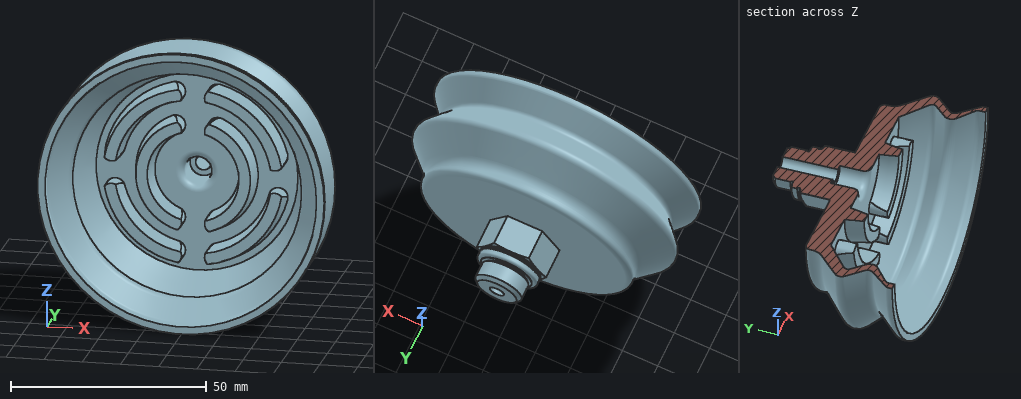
import cadquery as cq
import math


mouth_radius = 37.5
mouth_land = 1.5
mouth_round = 1.3
valley_radius = 32.1
valley_y = 7.9
valley_round = 1.6
bulge_y = 14.45
bulge_round = 1.9
shoulder_radius = 30.0
shoulder_y = 22.57
shoulder_round = 4.0
back_y = 26.5
back_round = 1.5
bulge_radius = shoulder_radius + shoulder_y - bulge_y

mouth_inner_radius = 35.5
mouth_inner_land = 2.3
mouth_inner_round = 1.4
throat_radius = 29.0
throat_y = 7.75
throat_round = 2.2
bulge_inner_radius = 34.4
bulge_inner_y = 13.7
bulge_inner_round = 1.2
floor_radius = 26.4
floor_y = 20.4

rib_base_width = 5.0
rib_draft_inset = 1.0
rib_height = 5.0
rib_gap_half = 3.0
inner_rib_radius = 13.5
outer_rib_radius = 22.0

bore_radius = 2.0
recess_radius = 3.5
recess_depth = 8.0
recess_round = 2.0

hex_across_flats = 17.0
hex_top_y = 35.0
hex_chamfer_radius = 8.5
hex_chamfer_angle = 15.0

collar_radius = 8.5
collar_groove_radius = 8.1
collar_foot_y = 35.2
collar_bottom_y = 35.8
collar_top_y = 37.65
collar_step_radius = 7.2
collar_step_y = 37.8
collar_round = 0.7
neck_radius = 6.0
plug_radius = 6.58
plug_start_y = 38.4
plug_end_y = 43.5
plug_chamfer = 1.0


def rounded_section(corners):
    """Closed section through (radius, y, rounding) corners; the first corner is a sharp one."""
    section = cq.Workplane("XY").moveTo(*corners[0][:2])
    for i in range(1, len(corners)):
        radius, y, rounding = corners[i]
        if not rounding:
            section = section.lineTo(radius, y)
            continue
        corner = cq.Vector(radius, y)
        to_previous = (cq.Vector(*corners[i - 1][:2]) - corner).normalized()
        to_next = (cq.Vector(*corners[(i + 1) % len(corners)][:2]) - corner).normalized()
        half_angle = to_previous.getAngle(to_next) / 2
        tangent_length = rounding / math.tan(half_angle)
        arc_distance = rounding / math.sin(half_angle) - rounding
        arc_start = corner + to_previous * tangent_length
        arc_middle = corner + (to_previous + to_next).normalized() * arc_distance
        arc_end = corner + to_next * tangent_length
        section = section.lineTo(arc_start.x, arc_start.y)
        section = section.threePointArc((arc_middle.x, arc_middle.y), (arc_end.x, arc_end.y))
    return section.close()


def turned(corners):
    """Solid of revolution about the Y axis."""
    return rounded_section(corners).revolve(360, (0, 0, 0), (0, 1, 0))


def cup():
    """Bellows shell: the outer turned body less its cavity."""
    body = turned([
        (0, 0, 0),
        (mouth_radius, 0, 0),
        (mouth_radius, mouth_land, mouth_round),
        (valley_radius, valley_y, valley_round),
        (bulge_radius, bulge_y, bulge_round),
        (shoulder_radius, shoulder_y, shoulder_round),
        (shoulder_radius, back_y, back_round),
        (0, back_y, 0),
    ])
    cavity = turned([
        (0, 0, 0),
        (mouth_inner_radius, 0, 0),
        (mouth_inner_radius, mouth_inner_land, mouth_inner_round),
        (throat_radius, throat_y, throat_round),
        (bulge_inner_radius, bulge_inner_y, bulge_inner_round),
        (floor_radius, floor_y, 0),
        (0, floor_y, 0),
    ])
    return body.cut(cavity)


def drafted_ring(mean_radius):
    """Full ring standing on the floor, its sides leaning in towards the top."""
    base = rib_base_width / 2
    top = base - rib_draft_inset
    top_y = floor_y - rib_height
    return turned([
        (mean_radius - base, floor_y, 0),
        (mean_radius - top, top_y, 0),
        (mean_radius + top, top_y, 0),
        (mean_radius + base, floor_y, 0),
    ])


def arc_prism(mean_radius, start, end):
    """Prism on the floor along an arc, with round ends centred at the two angles (radians)."""
    half = rib_base_width / 2

    def at(radius, angle):
        return (radius * math.cos(angle), radius * math.sin(angle))

    inner = mean_radius - half
    outer = mean_radius + half
    middle = (start + end) / 2
    overrun = half / mean_radius
    return (
        cq.Workplane("XZ", origin=(0, floor_y, 0))
        .moveTo(*at(outer, start))
        .threePointArc(at(outer, middle), at(outer, end))
        .threePointArc(at(mean_radius, end + overrun), at(inner, end))
        .threePointArc(at(inner, middle), at(inner, start))
        .threePointArc(at(mean_radius, start - overrun), at(outer, start))
        .close()
        .extrude(rib_height)
    )


def ribs():
    """Two long inner ribs and four short outer ribs, with gaps along X and Z."""
    end_offset = rib_gap_half + rib_base_width / 2
    inner_trim = math.asin(end_offset / inner_rib_radius)
    outer_trim = math.asin(end_offset / outer_rib_radius)
    quarter = math.pi / 2
    inner_ring = drafted_ring(inner_rib_radius)
    outer_ring = drafted_ring(outer_rib_radius)
    pieces = []
    for side in (-1, 1):
        start = side * quarter + inner_trim
        end = side * quarter + math.pi - inner_trim
        pieces.append(inner_ring.intersect(arc_prism(inner_rib_radius, start, end)))
    for i in range(4):
        start = i * quarter + outer_trim
        end = (i + 1) * quarter - outer_trim
        pieces.append(outer_ring.intersect(arc_prism(outer_rib_radius, start, end)))
    return pieces


def hexagon():
    """Wrench hexagon with corners on the X axis and a turned chamfer at its outer end."""
    corner_radius = hex_across_flats / math.sqrt(3)
    drop = (corner_radius - hex_chamfer_radius) * math.tan(math.radians(hex_chamfer_angle))
    prism = (
        cq.Workplane("XZ", origin=(0, back_y, 0))
        .polygon(6, 2 * corner_radius)
        .extrude(back_y - hex_top_y)
    )
    envelope = turned([
        (0, back_y, 0),
        (corner_radius, back_y, 0),
        (corner_radius, hex_top_y - drop, 0),
        (hex_chamfer_radius, hex_top_y, 0),
        (0, hex_top_y, 0),
    ])
    return prism.intersect(envelope)


def collar_and_plug():
    """Grooved sealing collar, its low step and the chamfered plug above the neck."""
    return turned([
        (0, hex_top_y, 0),
        (collar_radius, hex_top_y, 0),
        (collar_radius, collar_foot_y, 0),
        (collar_groove_radius, collar_foot_y, 0),
        (collar_groove_radius, collar_bottom_y, 0),
        (collar_radius, collar_bottom_y, 0),
        (collar_radius, collar_top_y, collar_round),
        (collar_step_radius, collar_top_y, 0),
        (collar_step_radius, collar_step_y, 0),
        (neck_radius, collar_step_y, 0),
        (plug_radius, plug_start_y, 0),
        (plug_radius, plug_end_y - plug_chamfer, 0),
        (plug_radius - plug_chamfer, plug_end_y, 0),
        (0, plug_end_y, 0),
    ])


def suction_bore():
    """Through bore with a wider recess whose rim flares out to the cavity floor."""
    recess_end_y = floor_y + recess_depth
    rim_radius = recess_radius + recess_round
    arc_inset = recess_round * math.sqrt(0.5)
    arc_middle = (rim_radius - arc_inset, floor_y + recess_round - arc_inset)
    recess = (
        cq.Workplane("XY")
        .moveTo(0, floor_y)
        .lineTo(rim_radius, floor_y)
        .threePointArc(arc_middle, (recess_radius, floor_y + recess_round))
        .lineTo(recess_radius, recess_end_y)
        .lineTo(0, recess_end_y)
        .close()
        .revolve(360, (0, 0, 0), (0, 1, 0))
    )
    bore = turned([
        (0, floor_y, 0),
        (bore_radius, floor_y, 0),
        (bore_radius, plug_end_y, 0),
        (0, plug_end_y, 0),
    ])
    return recess.union(bore)


result = cup()
for rib in ribs():
    result = result.union(rib)
result = result.union(hexagon()).union(collar_and_plug()).cut(suction_bore())